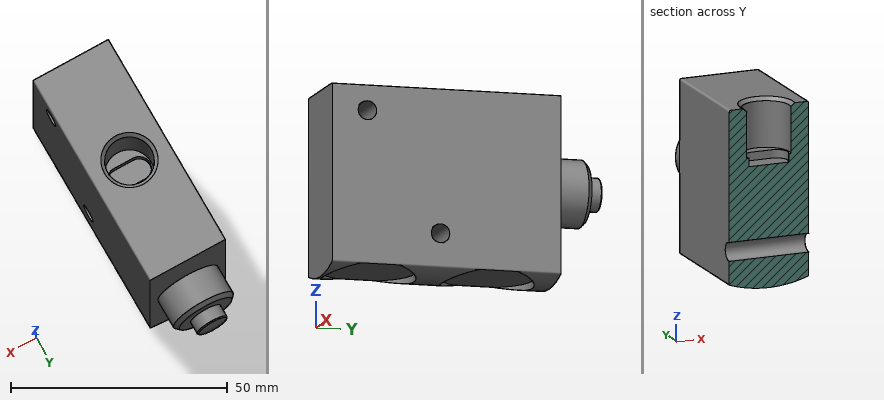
import cadquery as cq
import math

width = 20.0
total_length = 67.0
body_length = 54.95
height = 43.75
bottom_radius = 30.0
edge_fillet = 0.5

plunger_drop = 21.05
plunger_z = height - plunger_drop
collar_diameter = 15.95
collar_length = 8.3
collar_chamfer = 1.0
pin_diameter = 8.0
pin_rim_chamfer = 0.3
pin_dome_height = 0.4

port_y = 27.55
port_diameter = 11.45
port_rim_diameter = 13.2
port_depth = 12.05
slot_length = 10.8
slot_width = 5.7
slot_depth = 2.0

mount_hole_diameter = 4.4
mount_holes = [(8.45, 6.0), (26.0, 34.05)]

seat_diameter = 21.85
seat_depth = 1.75
seat_positions_y = [11.6, 40.0]


def make_body():
    """Block with a curved bottom and rounded long edges."""
    half_width = width / 2
    corner_z = bottom_radius - math.sqrt(bottom_radius**2 - half_width**2)
    block = (
        cq.Workplane("XZ")
        .moveTo(-half_width, height)
        .lineTo(-half_width, corner_z)
        .threePointArc((0, 0), (half_width, corner_z))
        .lineTo(half_width, height)
        .close()
        .extrude(-body_length)
    )
    return block.edges("|Y").fillet(edge_fillet)


def make_plunger():
    """Chamfered collar and domed pin, revolved about the plunger axis."""
    collar_radius = collar_diameter / 2
    pin_radius = pin_diameter / 2
    collar_end = body_length + collar_length
    dome_start = total_length - pin_dome_height
    dome_rim_radius = pin_radius - pin_rim_chamfer
    dome_radius = (dome_rim_radius**2 + pin_dome_height**2) / (2 * pin_dome_height)
    dome_mid_radius = dome_rim_radius / 2
    dome_mid_y = total_length - dome_radius + math.sqrt(dome_radius**2 - dome_mid_radius**2)
    return (
        cq.Workplane("XY")
        .moveTo(0, body_length)
        .lineTo(collar_radius, body_length)
        .lineTo(collar_radius, collar_end - collar_chamfer)
        .lineTo(collar_radius - collar_chamfer, collar_end)
        .lineTo(pin_radius, collar_end)
        .lineTo(pin_radius, dome_start - pin_rim_chamfer)
        .lineTo(dome_rim_radius, dome_start)
        .threePointArc((dome_mid_radius, dome_mid_y), (0, total_length))
        .close()
        .revolve(360, (0, 0, 0), (0, 1, 0))
        .translate((0, 0, plunger_z))
    )


def make_port():
    """Countersunk blind bore with a slot sunk into its flat floor."""
    countersink_depth = (port_rim_diameter - port_diameter) / 2
    top = cq.Workplane("XY", origin=(0, port_y, height))
    bore = top.circle(port_diameter / 2).extrude(-port_depth)
    countersink = (
        top.circle(port_rim_diameter / 2)
        .workplane(offset=-countersink_depth)
        .circle(port_diameter / 2)
        .loft()
    )
    slot = (
        top.workplane(offset=-port_depth)
        .slot2D(slot_length, slot_width)
        .extrude(-slot_depth)
    )
    return bore.union(countersink).union(slot)


def make_mount_holes():
    """Round holes across the whole width."""
    return (
        cq.Workplane("YZ", origin=(-width / 2, 0, 0))
        .pushPoints([(y, height - drop) for y, drop in mount_holes])
        .circle(mount_hole_diameter / 2)
        .extrude(width)
    )


def make_seats():
    """Shallow round seats under the body."""
    return (
        cq.Workplane("XY")
        .pushPoints([(0, y) for y in seat_positions_y])
        .circle(seat_diameter / 2)
        .extrude(seat_depth)
    )


result = (
    make_body()
    .union(make_plunger())
    .cut(make_port())
    .cut(make_mount_holes())
    .cut(make_seats())
)